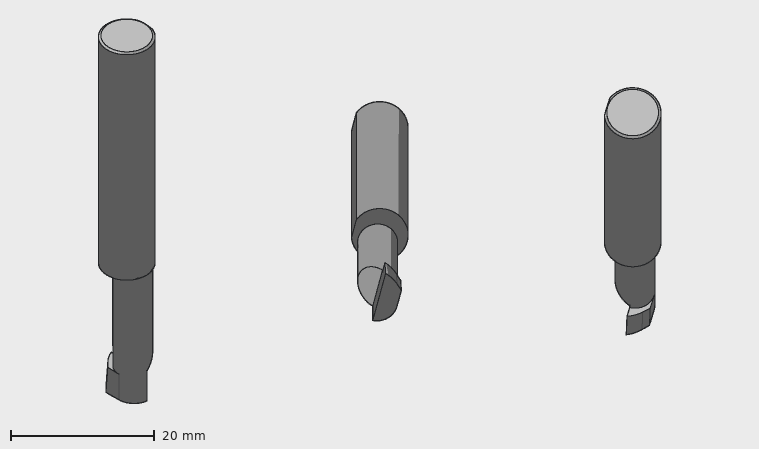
import cadquery as cq
import math


total_length = 63.5

shank_diameter = 7.9375
shank_radius = shank_diameter / 2
shank_length = 40.64
shank_flat_depth = 0.26
end_chamfer_width = 0.37
end_chamfer_height = 0.22

neck_length = total_length - shank_length
neck_radius = 2.794
neck_center_x = shank_radius - neck_radius

rake_height = 5.66
ramp_height = 2.7

head_height = 5.08
tip_x = -3.42
head_lean = 0.41
flank_end_x = -2.2
flank_end_y = -1.95
flank_end_angle = math.radians(45)
head_front_y = -neck_radius

end_slope_x = math.tan(math.radians(2))
end_slope_y = math.tan(math.radians(6.5))


def make_shank():
    shank = cq.Workplane("XY").workplane(offset=neck_length).circle(shank_radius).extrude(shank_length)
    shank = shank.faces(">Z").chamfer(end_chamfer_height, end_chamfer_width)
    flat_cutter = (
        cq.Workplane("XY")
        .box(shank_diameter, shank_radius, total_length, centered=(True, False, False))
        .translate((0, shank_radius - shank_flat_depth, 0))
    )
    return shank.cut(flat_cutter)


def make_neck():
    return cq.Workplane("XY").center(neck_center_x, 0).circle(neck_radius).extrude(neck_length)


def flank_middle():
    """Middle point of the flank arc that ends in line with the facet."""
    chord_x = flank_end_x - tip_x
    chord_y = flank_end_y
    chord = math.hypot(chord_x, chord_y)
    chord_angle = math.atan2(chord_x, -chord_y)
    turn = flank_end_angle - chord_angle
    bulge = chord / 2 * math.tan(turn / 2)
    middle_x = (tip_x + flank_end_x) / 2 + bulge * chord_y / chord
    middle_y = flank_end_y / 2 - bulge * chord_x / chord
    return middle_x, middle_y


def head_outline(height, shift):
    """Head section at a height, with its cutting side shifted along X."""
    middle_x, middle_y = flank_middle()
    facet_end_x = flank_end_x + (flank_end_y - head_front_y) / math.tan(flank_end_angle)
    return (
        cq.Workplane("XY", origin=(0, 0, height))
        .moveTo(tip_x + shift, 0)
        .threePointArc((middle_x + shift, middle_y), (flank_end_x + shift, flank_end_y))
        .lineTo(facet_end_x + shift, head_front_y)
        .lineTo(neck_center_x, head_front_y)
        .lineTo(neck_center_x, 0)
        .close()
        .val()
    )


def make_head():
    bottom = head_outline(0, 0)
    top = head_outline(head_height, head_lean)
    return cq.Workplane(cq.Solid.makeLoft([bottom, top], True))


def rake_cutter():
    """Removes the +Y half of the neck end, running out along a ramp."""
    return (
        cq.Workplane("YZ", origin=(-shank_radius, 0, 0))
        .moveTo(0, 0)
        .lineTo(0, rake_height)
        .lineTo(neck_radius, rake_height + ramp_height)
        .lineTo(shank_radius, rake_height + ramp_height)
        .lineTo(shank_radius, 0)
        .close()
        .extrude(shank_diameter)
    )


def end_cutter():
    """Removes everything below the end face, which rises from the tip towards +X and -Y."""
    end_plane = cq.Plane(
        origin=(tip_x, 0, 0),
        xDir=(1, 0, end_slope_x),
        normal=(-end_slope_x, end_slope_y, 1),
    )
    cutter_width = 4 * shank_diameter
    return cq.Workplane(end_plane).rect(cutter_width, cutter_width).extrude(-shank_diameter)


bar = make_shank().union(make_neck()).union(make_head())
result = bar.cut(rake_cutter()).cut(end_cutter())